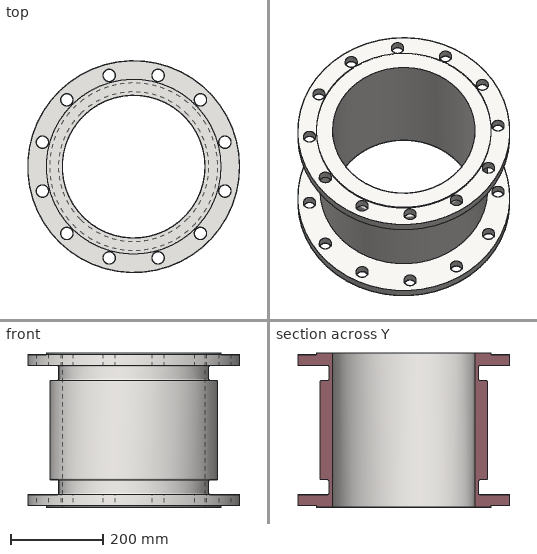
import cadquery as cq

height = 335.0
bore_diameter = 309.0

flange_diameter = 460.0
flange_thickness = 24.0
raised_face_diameter = 379.0
raised_face_height = 3.5

bolt_count = 12
bolt_circle_diameter = 410.0
bolt_hole_diameter = 26.0
bolt_spacing_angle = 360 / bolt_count

neck_diameter = 325.5
body_diameter = 364.5
body_height = 216.0
corner_radius = 3.0

flange_gap = height - 2 * (raised_face_height + flange_thickness)


def disc(diameter, length, middle_z=0):
    """Solid cylinder on the Z axis, centred lengthwise on middle_z."""
    return cq.Workplane("XY", origin=(0, 0, middle_z)).cylinder(length, diameter / 2)


def flange(side):
    """Flange with its raised sealing face; side is +1 for the top, -1 for the bottom."""
    plate_z = side * (flange_gap + flange_thickness) / 2
    raised_face_z = side * (height - raised_face_height) / 2
    plate = disc(flange_diameter, flange_thickness, plate_z)
    return plate.union(disc(raised_face_diameter, raised_face_height, raised_face_z))


def bolt_holes():
    """Bolt hole cutters running through both flanges."""
    return (
        cq.Workplane("XY")
        .polarArray(bolt_circle_diameter / 2, bolt_spacing_angle / 2, 360, bolt_count)
        .circle(bolt_hole_diameter / 2)
        .extrude(height / 2, both=True)
    )


outer = disc(body_diameter, body_height).union(disc(neck_diameter, flange_gap))
for side in (1, -1):
    outer = outer.union(flange(side))

neck_ends = cq.selectors.RadiusNthSelector(0)
body_rims = cq.selectors.RadiusNthSelector(1)
outer = outer.edges(neck_ends + body_rims).fillet(corner_radius)

result = outer.cut(bolt_holes()).cut(disc(bore_diameter, height))